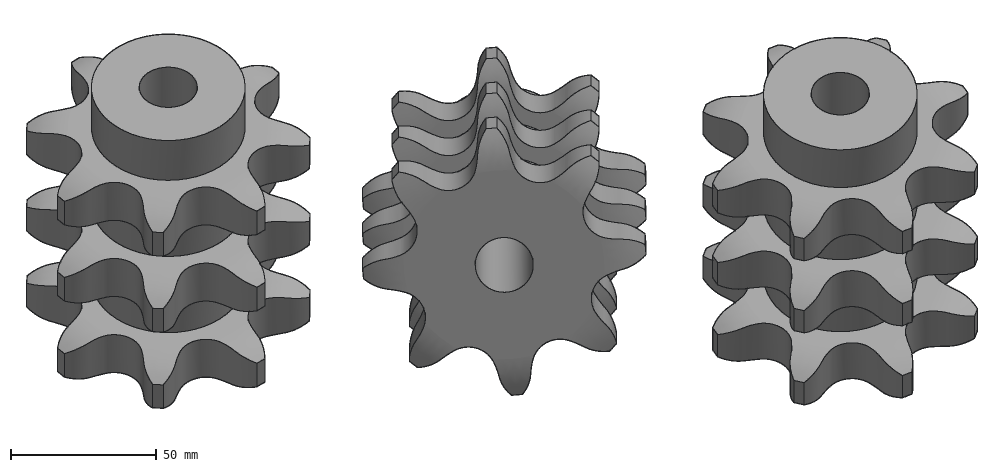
import cadquery as cq
import math


tooth_count = 8
chain_pitch = 31.8
roller_diameter = 19.0
strand_count = 3
strand_spacing = 36.4

tooth_width = 18.2
tip_radius = 49.0
crown_start_radius = 34.5
crown_radius = chain_pitch

total_height = 110.0
hub_diameter = 53.0
bore_diameter = 20.0

pitch_radius = chain_pitch / 2 / math.sin(math.pi / tooth_count)
seat_clearance_factor = 1.01
seat_radius = seat_clearance_factor * roller_diameter / 2
seat_angle = math.radians(35 + 60 / tooth_count)
working_sweep = math.radians(18 - 56 / tooth_count)
topping_angle = math.radians(17 - 64 / tooth_count)
working_centre_offset = 0.8 * roller_diameter
topping_centre_offset = 1.4 * roller_diameter
working_radius = working_centre_offset + seat_radius
flat_angle = seat_angle - working_sweep
flat_length = (topping_centre_offset * math.sin(topping_angle)
               - working_centre_offset * math.sin(working_sweep))
topping_radius = (working_centre_offset * math.cos(working_sweep)
                  + topping_centre_offset * math.cos(topping_angle) - working_radius)


def below(centre, radius, angle):
    """Point at a radius from a centre, at an angle dipping below the +X direction."""
    return (centre[0] + radius * math.cos(angle), centre[1] - radius * math.sin(angle))


def tip_corner(topping_centre):
    """Point where the topping arc meets the tip circle, on the side facing the gap."""
    centre_distance = math.hypot(*topping_centre)
    cos_offset = ((tip_radius**2 + centre_distance**2 - topping_radius**2)
                  / (2 * tip_radius * centre_distance))
    angle = math.atan2(topping_centre[1], topping_centre[0]) + math.acos(cos_offset)
    return (tip_radius * math.cos(angle), tip_radius * math.sin(angle))


def arc_middle(centre, radius, start, end):
    """Point halfway along the short arc between two points."""
    x = (start[0] + end[0]) / 2 - centre[0]
    y = (start[1] + end[1]) / 2 - centre[1]
    stretch = radius / math.hypot(x, y)
    return (centre[0] + x * stretch, centre[1] + y * stretch)


roller_centre = (0, pitch_radius)
working_centre = below(roller_centre, -working_centre_offset, seat_angle)
gap_bottom = (0, pitch_radius - seat_radius)
seat_end = below(roller_centre, seat_radius, seat_angle)
seat_middle = arc_middle(roller_centre, seat_radius, gap_bottom, seat_end)
working_end = below(working_centre, working_radius, flat_angle)
working_middle = arc_middle(working_centre, working_radius, seat_end, working_end)
flat_end = (working_end[0] + flat_length * math.sin(flat_angle),
            working_end[1] + flat_length * math.cos(flat_angle))
topping_centre = below(flat_end, topping_radius, flat_angle)
tip_start = tip_corner(topping_centre)
topping_middle = arc_middle(topping_centre, topping_radius, flat_end, tip_start)


def turned(point, turn):
    """Point turned clockwise about the part's axis."""
    return (point[0] * math.cos(turn) + point[1] * math.sin(turn),
            point[1] * math.cos(turn) - point[0] * math.sin(turn))


def tooth_outline():
    """Closed outline of all teeth, running clockwise from the bottom of the +Y gap."""
    outline = cq.Workplane("XY").moveTo(*gap_bottom)
    step = 2 * math.pi / tooth_count
    for index in range(tooth_count):
        def rising(point):
            return turned(point, index * step)

        def falling(point):
            return turned((-point[0], point[1]), (index + 1) * step)

        tip_middle = turned((0, tip_radius), (index + 0.5) * step)
        outline = (
            outline
            .threePointArc(rising(seat_middle), rising(seat_end))
            .threePointArc(rising(working_middle), rising(working_end))
            .lineTo(*rising(flat_end))
            .threePointArc(rising(topping_middle), rising(tip_start))
            .threePointArc(tip_middle, falling(tip_start))
            .threePointArc(falling(topping_middle), falling(flat_end))
            .lineTo(*falling(working_end))
            .threePointArc(falling(working_middle), falling(seat_end))
            .threePointArc(falling(seat_middle), falling(gap_bottom))
        )
    return outline.close()


def crowned_blank():
    """Disc reaching past the tooth tips, with both sides rounded off towards the rim."""
    rim_angle = math.radians(30)

    def crown_point(angle):
        return (crown_start_radius + crown_radius * math.sin(angle),
                crown_radius * (1 - math.cos(angle)))

    def upper(point):
        return (point[0], tooth_width - point[1])

    rim = crown_point(rim_angle)
    middle = crown_point(rim_angle / 2)
    return (
        cq.Workplane("XZ")
        .lineTo(crown_start_radius, 0)
        .threePointArc(middle, rim)
        .lineTo(*upper(rim))
        .threePointArc(upper(middle), (crown_start_radius, tooth_width))
        .lineTo(0, tooth_width)
        .close()
        .revolve(360, (0, 0, 0), (0, 1, 0))
    )


wheel = tooth_outline().extrude(tooth_width).intersect(crowned_blank())

sprocket = cq.Workplane("XY").circle(hub_diameter / 2).extrude(total_height)
for strand in range(strand_count):
    sprocket = sprocket.union(wheel.translate((0, 0, strand * strand_spacing)))

bore = cq.Workplane("XY").circle(bore_diameter / 2).extrude(total_height)
result = sprocket.cut(bore)